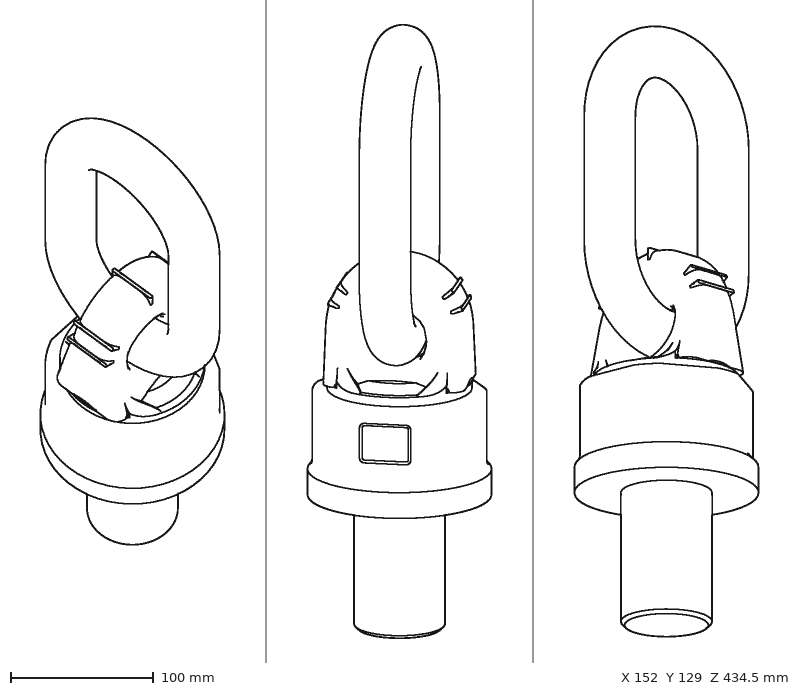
import cadquery as cq
import math

ring_width = 152.0
total_height = 434.5
wire_diameter = 36.0
ring_straight_length = 90.0

stem_diameter = 64.0
stem_chamfer = 2.5
flange_diameter = 129.0
flange_bottom_z = 96.5
flange_thickness = 18.5

hex_across_flats = 114.5
hex_corner_diameter = 122.5
hex_top_z = 173.7
hex_edge_fillet = 8.0
hex_top_fillet = 2.0
skirt_fillet = 8.0

panel_width = 36.5
panel_height = 28.5
panel_center_z = 148.0
panel_depth = 1.0
panel_wall_angle = 65
panel_corner_radius = 3.5

disk_diameter = 101.5
disk_thickness = 6.5
arch_radius = 50.5
arch_center_z = 220.0
eye_top_thickness = 36.5
taper_start_z = 233.5
taper_angle = 13.5
taper_bend_radius = 26.0
eye_outer_fillet = 10.0
eye_hole_diameter = 41.3
mouth_fillet = 15.5
flare_radius = 17.5
lip_diameter = 103.5
lip_height = 2.5
lip_top_diameter = 100.0
lip_inner_y = 39.0
mound_diameter = 90.5
mound_top_diameter = 67.8
mound_height = 5.5

bar_angles = (20, 36, 90, 144, 160)
bar_width = 2.5
bar_height = 0.2
bar_depth = 8.3
bar_end_fillet = 1.0

skirt_margin = 1.5
edge_margin = 0.5

ring_bend_radius = (ring_width - wire_diameter) / 2
ring_upper_z = total_height - ring_width / 2
ring_lower_z = ring_upper_z - ring_straight_length
eye_hole_z = ring_lower_z - ring_bend_radius
flange_top_z = flange_bottom_z + flange_thickness
flange_radius = flange_diameter / 2
disk_top_z = hex_top_z + disk_thickness
half_top = eye_top_thickness / 2
taper_slope = math.tan(math.radians(taper_angle))
mouth_radius = eye_hole_diameter / 2 + mouth_fillet


def cylinder_z(diameter, bottom_z, top_z):
    """Upright cylinder on the Z axis."""
    return cq.Workplane("XY", origin=(0, 0, bottom_z)).circle(diameter / 2).extrude(top_z - bottom_z)


def cylinder_x(radius, center_z, length):
    """Cylinder along X, centred on the YZ plane."""
    return cq.Workplane("YZ", origin=(0, 0, center_z)).circle(radius).extrude(length / 2, both=True)


def cone_z(bottom_diameter, top_diameter, bottom_z, height):
    """Upright cone frustum on the Z axis."""
    return cq.Workplane(
        cq.Solid.makeCone(bottom_diameter / 2, top_diameter / 2, height, pnt=cq.Vector(0, 0, bottom_z))
    )


def make_ring():
    path = (
        cq.Workplane("XZ")
        .moveTo(ring_bend_radius, ring_lower_z)
        .lineTo(ring_bend_radius, ring_upper_z)
        .threePointArc((0, ring_upper_z + ring_bend_radius), (-ring_bend_radius, ring_upper_z))
        .lineTo(-ring_bend_radius, ring_lower_z)
        .threePointArc((0, ring_lower_z - ring_bend_radius), (ring_bend_radius, ring_lower_z))
        .close()
    )
    wire_section = cq.Workplane("XY", origin=(ring_bend_radius, 0, ring_lower_z)).circle(wire_diameter / 2)
    return wire_section.sweep(path)


def make_hex_head():
    """Hexagon with flats facing +X and -X, its corners turned down to a cylinder."""
    across_corners = hex_across_flats / math.cos(math.pi / 6)
    height = hex_top_z - flange_top_z
    prism = (
        cq.Workplane("XY", origin=(0, 0, flange_top_z))
        .transformed(rotate=(0, 0, 30))
        .polygon(6, across_corners)
        .extrude(height)
    )
    head = prism.intersect(cylinder_z(hex_corner_diameter, flange_top_z, hex_top_z))
    head = head.edges("|Z").fillet(hex_edge_fillet)
    return head.faces(">Z").edges().fillet(hex_top_fillet)


def make_skirt():
    """45 degree cone that rises from the flange rim to the head."""
    return cone_z(flange_diameter, flange_diameter - 2 * flange_thickness, flange_top_z, flange_thickness)


def make_panel_recess():
    flat_x = -hex_across_flats / 2
    return (
        cq.Workplane("YZ", origin=(flat_x, 0, panel_center_z))
        .sketch()
        .rect(panel_width, panel_height)
        .vertices()
        .fillet(panel_corner_radius)
        .finalize()
        .extrude(panel_depth, taper=panel_wall_angle)
    )


def make_nut_body():
    stem = cylinder_z(stem_diameter, 0, flange_bottom_z).faces("<Z").chamfer(stem_chamfer)
    head = make_hex_head().union(make_skirt())
    joint_zone = cq.selectors.BoxSelector(
        (-flange_radius, -flange_radius, flange_top_z + skirt_margin),
        (flange_radius, flange_radius, flange_top_z + flange_thickness),
    )
    head = head.edges(joint_zone).edges("not |Z").fillet(skirt_fillet)
    flange = cylinder_z(flange_diameter, flange_bottom_z, flange_top_z)
    return head.union(flange).union(stem).cut(make_panel_recess())


def is_rim_edge(edge, foot_z):
    """True for the outer edges of the two side faces, where they meet the arch surface."""
    center = edge.Center()
    off_axis = math.hypot(center.y, max(center.z - arch_center_z, 0))
    on_side = abs(center.x) > half_top - edge_margin
    return on_side and off_axis > arch_radius / 2 and center.z > foot_z + edge_margin


def is_hole_rim_edge(edge):
    """True for the edges where the through hole opens into the two side faces."""
    limit = eye_hole_diameter / 2 + edge_margin
    on_side = abs(edge.Center().x) > half_top / 2
    return on_side and all(math.hypot(v.Y, v.Z - eye_hole_z) < limit for v in edge.Vertices())


def make_loop():
    """Tapered plate with a round top, a through hole and a rounded mouth on both sides."""
    foot_z = hex_top_z - 2 * disk_thickness
    crown_z = arch_center_z + arch_radius
    half_foot = half_top + (taper_start_z - foot_z) * taper_slope
    plate = (
        cq.Workplane("XZ")
        .polyline([
            (-half_foot, foot_z),
            (half_foot, foot_z),
            (half_top, taper_start_z),
            (half_top, crown_z),
            (-half_top, crown_z),
            (-half_top, taper_start_z),
        ])
        .close()
        .extrude(arch_radius, both=True)
    )
    bends = cq.selectors.BoxSelector(
        (-half_foot, -edge_margin, taper_start_z - edge_margin),
        (half_foot, edge_margin, taper_start_z + edge_margin),
    )
    plate = plate.edges(bends).fillet(taper_bend_radius)
    arch = (
        cq.Workplane("YZ")
        .moveTo(-arch_radius, foot_z)
        .lineTo(-arch_radius, arch_center_z)
        .threePointArc((0, crown_z), (arch_radius, arch_center_z))
        .lineTo(arch_radius, foot_z)
        .close()
        .extrude(half_foot, both=True)
    )
    loop = plate.intersect(arch)
    rim = [edge for edge in loop.edges().vals() if is_rim_edge(edge, foot_z)]
    loop = loop.newObject(rim).fillet(eye_outer_fillet)
    loop = loop.cut(cylinder_x(eye_hole_diameter / 2, eye_hole_z, 4 * half_foot))
    hole_rims = [edge for edge in loop.edges().vals() if is_hole_rim_edge(edge)]
    loop = loop.newObject(hole_rims).fillet(mouth_fillet)
    return loop.intersect(cylinder_z(flange_diameter, disk_top_z, total_height))


def make_foot():
    """Disk under the loop, with a low conical mound and concave flares up to the leg sides."""
    corner_x = half_top + (taper_start_z - disk_top_z) * taper_slope
    tilt = math.radians(taper_angle)
    bisector = math.radians(90 + taper_angle) / 2
    tangent_length = flare_radius / math.tan(bisector)
    toe_x = corner_x + tangent_length
    head_x = corner_x - tangent_length * math.sin(tilt)
    head_z = disk_top_z + tangent_length * math.cos(tilt)
    arc_mid_angle = math.radians(270) - (math.pi / 2 - tilt) / 2
    mid_x = toe_x + flare_radius * math.cos(arc_mid_angle)
    mid_z = disk_top_z + flare_radius + flare_radius * math.sin(arc_mid_angle)
    flare = (
        cq.Workplane("XZ")
        .moveTo(-toe_x, disk_top_z)
        .lineTo(toe_x, disk_top_z)
        .threePointArc((mid_x, mid_z), (head_x, head_z))
        .lineTo(-head_x, head_z)
        .threePointArc((-mid_x, mid_z), (-toe_x, disk_top_z))
        .close()
        .extrude(lip_inner_y, both=True)
        .intersect(cylinder_z(disk_diameter, disk_top_z, head_z))
    )
    mouth_clearance = cylinder_x(mouth_radius, eye_hole_z, disk_diameter)
    mound = cone_z(mound_diameter, mound_top_diameter, disk_top_z, mound_height)
    disk = cylinder_z(disk_diameter, hex_top_z, disk_top_z)
    return disk.union(mound).union(flare.cut(mouth_clearance))


def make_lip(side):
    """Thin conical step at the foot of one leg of the loop."""
    half_width = half_top + (taper_start_z - disk_top_z) * taper_slope
    length = lip_diameter / 2
    leg_zone = (
        cq.Workplane("XY", origin=(0, side * (lip_inner_y + length / 2), disk_top_z))
        .rect(2 * half_width, length)
        .extrude(lip_height)
    )
    return leg_zone.intersect(cone_z(lip_diameter, lip_top_diameter, disk_top_z, lip_height))


def make_bar(angle):
    """Bar across the crown of the loop, at an angle from +Y around the arch centre."""
    return (
        cq.Workplane("XY")
        .box(eye_top_thickness, bar_depth, bar_width)
        .edges("|Y")
        .fillet(bar_end_fillet)
        .translate((0, arch_radius + bar_height - bar_depth / 2, 0))
        .rotate((0, 0, 0), (1, 0, 0), angle)
        .translate((0, 0, arch_center_z))
    )


def make_swivel_eye():
    eye = make_loop().union(make_foot())
    for side in (-1, 1):
        eye = eye.union(make_lip(side))
    for angle in bar_angles:
        eye = eye.union(make_bar(angle))
    return eye


ring = make_ring()
nut_body = make_nut_body()
swivel_eye = make_swivel_eye()

result = cq.Compound.makeCompound([ring.val(), nut_body.val(), swivel_eye.val()])